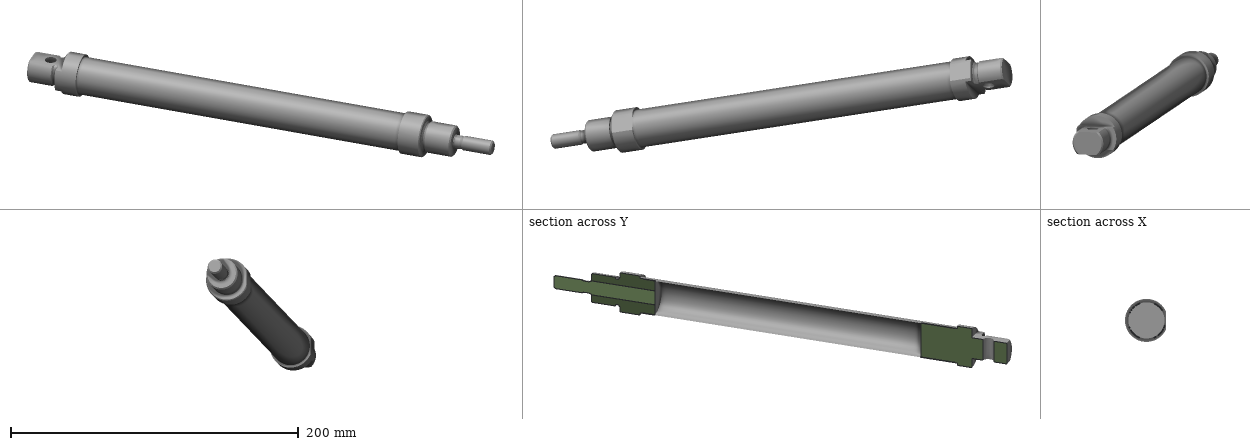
import cadquery as cq

total_length = 340.0

collar_radius = 15.0
collar_flat_y = 13.5
shoulder_length = 2.0
thread_diameter = 22.0
thread_radius = thread_diameter / 2
relief_radius = 10.0
thread_chamfer = 1.0

tube_radius = 13.3
bore_radius = 12.5
tube_start = 39.5
tube_end = 273.0

tongue_thickness = 16.0
tongue_thread_length = 18.7
rear_collar_start = 21.8
tongue_flat_length = 26.2
pivot_x = 14.0
pivot_hole_diameter = 8.0
rear_spigot_length = 25.0

front_collar_end = 290.7
front_collar_chamfer = 0.7
front_relief_length = 2.7
nose_end = 312.0
front_spigot_length = 9.2

rod_radius = 5.0
neck_radius = 4.8
neck_start = 312.8
wrench_flat_width = 9.0
wrench_flat_start = 313.5
rod_groove_start = 317.0
rod_thread_start = 319.0
rod_groove_depth = 0.7
rod_chamfer = 1.0


def turned(profile):
    """Solid of revolution about X from (x, radius) points, closed along the axis."""
    first_x = profile[0][0]
    last_x = profile[-1][0]
    outline = [(first_x, 0), *profile, (last_x, 0)]
    return cq.Workplane("XY").polyline(outline).close().revolve(360, (0, 0, 0), (1, 0, 0))


def span_block(start, end, y_min, y_max, z_min, z_max):
    """Box given by its limits along each axis."""
    size = (end - start, y_max - y_min, z_max - z_min)
    return cq.Workplane("XY").box(*size, centered=False).translate((start, y_min, z_min))


def cut_collar_flat(cap, start, end):
    """Plane off the +Y side of a cap."""
    flat = span_block(start, end, collar_flat_y, collar_radius, -collar_radius, collar_radius)
    return cap.cut(flat)


def make_tube():
    length = tube_end - tube_start
    section = cq.Workplane("YZ").workplane(offset=tube_start).circle(tube_radius).circle(bore_radius)
    return section.extrude(length)


def make_rear_cap():
    collar_end = tube_start - shoulder_length
    cap = turned([
        (0, thread_radius - thread_chamfer),
        (thread_chamfer, thread_radius),
        (tongue_thread_length - thread_chamfer, thread_radius),
        (tongue_thread_length, relief_radius),
        (rear_collar_start - thread_chamfer, relief_radius),
        (rear_collar_start, thread_radius),
        (rear_collar_start, collar_radius),
        (collar_end, collar_radius),
        (collar_end, tube_radius),
        (tube_start, tube_radius),
        (tube_start, bore_radius),
        (tube_start + rear_spigot_length, bore_radius),
    ])
    cap = cut_collar_flat(cap, rear_collar_start, collar_end)

    half_tongue = tongue_thickness / 2
    for z_min, z_max in ((half_tongue, collar_radius), (-collar_radius, -half_tongue)):
        cap = cap.cut(span_block(0, tongue_flat_length, -collar_radius, collar_radius, z_min, z_max))

    pivot_hole = cq.Workplane("XY").center(pivot_x, 0).circle(pivot_hole_diameter / 2)
    return cap.cut(pivot_hole.extrude(collar_radius, both=True))


def make_front_cap():
    collar_start = tube_end + shoulder_length
    nose_start = front_collar_end + front_relief_length
    spigot_start = tube_end - front_spigot_length
    cap = turned([
        (spigot_start, bore_radius),
        (tube_end, bore_radius),
        (tube_end, tube_radius),
        (collar_start, tube_radius),
        (collar_start, collar_radius),
        (front_collar_end - front_collar_chamfer, collar_radius),
        (front_collar_end, collar_radius - front_collar_chamfer),
        (front_collar_end, thread_radius),
        (front_collar_end + thread_chamfer, relief_radius),
        (nose_start, relief_radius),
        (nose_start, thread_radius),
        (nose_end - thread_chamfer, thread_radius),
        (nose_end, thread_radius - thread_chamfer),
    ])
    cap = cut_collar_flat(cap, collar_start, front_collar_end)
    rod_bore = cq.Workplane("YZ").workplane(offset=spigot_start).circle(rod_radius)
    return cap.cut(rod_bore.extrude(nose_end - spigot_start))


def make_rod():
    groove_middle = (rod_groove_start + rod_thread_start) / 2
    rod = turned([
        (tube_end - front_spigot_length, rod_radius),
        (neck_start, rod_radius),
        (neck_start, neck_radius),
        (rod_groove_start, neck_radius),
        (groove_middle, rod_radius - rod_groove_depth),
        (rod_thread_start, rod_radius),
        (total_length - rod_chamfer, rod_radius),
        (total_length, rod_radius - rod_chamfer),
    ])
    half_flat = wrench_flat_width / 2
    for z_min, z_max in ((half_flat, rod_radius), (-rod_radius, -half_flat)):
        rod = rod.cut(span_block(wrench_flat_start, rod_groove_start, -rod_radius, rod_radius, z_min, z_max))
    return rod


tube = make_tube()
rear_cap = make_rear_cap()
front_cap = make_front_cap()
rod = make_rod()

result = cq.Compound.makeCompound([tube.val(), rear_cap.val(), front_cap.val(), rod.val()])